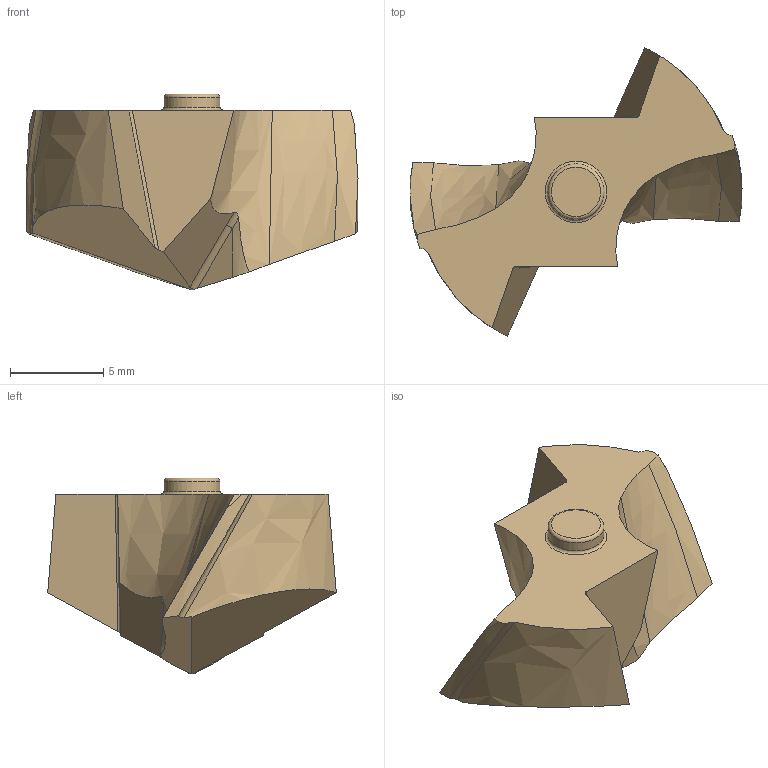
import cadquery as cq
import math

BODY_HEIGHT = 9.64
TWIST_RATE = 3.78
OVERSIZE = 30.0
CLEARANCE = 1.0

MARGIN_RADIUS = 8.9
LAND_RADIUS = 8.57
STEP_START_ANGLE = 20.0
STEP_END_ANGLE = 22.2
STEP_MID_RADIUS = 8.65
FLUTE_START = (2.26, -4.1)
FLUTE_HEEL_MID = (2.55, -1.1)
FLUTE_HEEL_END = (4.3, 0.9)
FLUTE_FACE_MID = (5.9, 1.63)
FLUTE_FACE_END = (7.53, 2.02)
LIP_CORNER_ANGLE = 15.0

MARGIN_FLAT_X = 8.5
MARGIN_FLAT_SLOPE = 0.27

LIP_SLOPE = 0.357
PRIMARY_RELIEF = 0.08
SECONDARY_RELIEF = 0.393

GASH_SLOPE_X = 1.103
GASH_SLOPE_Y = -0.98
GASH_FILLET = 0.3
WEB_HALF_THICKNESS = 0.05
RAKE_SLOPE = -0.61
RAKE_END_X = 2.17
RAKE_BLEND_LENGTH = 1.1

NOTCH_CORNER_X = -3.34
NOTCH_FLOOR_Y = -3.98
NOTCH_FLOOR_LEAN = 0.02
NOTCH_WALL_LEAN = 0.188
NOTCH_WALL_SLOPE = 0.348
NOTCH_FILLET = 0.2

STUB_RADIUS = 1.5
STUB_HEIGHT = 0.85
STUB_FOOT_FILLET = 0.15
STUB_TOP_FILLET = 0.18


def polar(radius, angle):
    radians = math.radians(angle)
    return (radius * math.cos(radians), radius * math.sin(radians))


def unturned(point):
    return point


def half_turn(point):
    return (-point[0], -point[1])


def below_plane(slope_x, slope_y):
    """Large solid below the plane z = slope_x * x + slope_y * y."""
    plane = cq.Plane(origin=(0, 0, 0), xDir=(1, 0, slope_x), normal=(-slope_x, -slope_y, 1))
    return cq.Workplane(plane).rect(2 * OVERSIZE, 2 * OVERSIZE).extrude(-OVERSIZE)


def both_sides(cutter):
    """The cutter together with its half-turn copy about the drill axis."""
    return [cutter, cutter.rotate((0, 0, 0), (0, 0, 1), 180)]


def make_fluted_body():
    """Section with two lands and two flutes, swept along the helix."""
    lip_corner = polar(MARGIN_RADIUS, LIP_CORNER_ANGLE)
    margin_mid = polar(MARGIN_RADIUS, (LIP_CORNER_ANGLE + STEP_START_ANGLE) / 2)
    step_start = polar(MARGIN_RADIUS, STEP_START_ANGLE)
    step_mid_angle = (STEP_START_ANGLE + STEP_END_ANGLE) / 2
    step_mid = polar(STEP_MID_RADIUS, step_mid_angle)
    step_end = polar(LAND_RADIUS, STEP_END_ANGLE)
    land_end_angle = math.degrees(math.atan2(-FLUTE_START[1], -FLUTE_START[0]))
    land_mid = polar(LAND_RADIUS, (STEP_END_ANGLE + land_end_angle) / 2)
    land_end = polar(LAND_RADIUS, land_end_angle)

    outline = cq.Workplane("XY").moveTo(*FLUTE_START)
    for place in (unturned, half_turn):
        outline = (
            outline.threePointArc(place(FLUTE_HEEL_MID), place(FLUTE_HEEL_END))
            .threePointArc(place(FLUTE_FACE_MID), place(FLUTE_FACE_END))
            .lineTo(*place(lip_corner))
            .threePointArc(place(margin_mid), place(step_start))
            .threePointArc(place(step_mid), place(step_end))
            .threePointArc(place(land_mid), place(land_end))
            .lineTo(*half_turn(place(FLUTE_START)))
        )
    twist = TWIST_RATE * BODY_HEIGHT
    return outline.close().twistExtrude(BODY_HEIGHT, twist).rotate((0, 0, 0), (0, 0, 1), -twist)


def make_margin_flat():
    """Wedge outside a plane that leans outward going down."""
    run = MARGIN_FLAT_SLOPE * BODY_HEIGHT
    return (
        cq.Workplane("XZ")
        .polyline(
            [
                (MARGIN_FLAT_X, BODY_HEIGHT),
                (MARGIN_FLAT_X + run, 0),
                (OVERSIZE, 0),
                (OVERSIZE, BODY_HEIGHT),
            ]
        )
        .close()
        .extrude(OVERSIZE, both=True)
    )


def make_notch():
    """Wedge between the notch floor and wall, rounded where they meet."""

    def section(depth):
        floor_y = NOTCH_FLOOR_Y + NOTCH_FLOOR_LEAN * depth
        wall_x = NOTCH_CORNER_X + NOTCH_WALL_LEAN * depth
        foot_x = wall_x - NOTCH_WALL_SLOPE * OVERSIZE
        corners = [
            (wall_x, floor_y),
            (wall_x + OVERSIZE, floor_y),
            (wall_x + OVERSIZE, floor_y - OVERSIZE),
            (foot_x, floor_y - OVERSIZE),
        ]
        points = [cq.Vector(x, y, BODY_HEIGHT - depth) for x, y in corners]
        return cq.Wire.makePolygon(points, close=True)

    wedge = cq.Solid.makeLoft([section(BODY_HEIGHT + CLEARANCE), section(-CLEARANCE)], True)
    corner = cq.Vertex.makeVertex(NOTCH_CORNER_X, NOTCH_FLOOR_Y, BODY_HEIGHT)
    corner_edge = min(wedge.Edges(), key=lambda edge: edge.distance(corner))
    return cq.Workplane(wedge.fillet(NOTCH_FILLET, [corner_edge]))


def make_gash():
    """Cutter bounded by an upright rake face and a sloping gash face, with a rounded root."""

    def rake_y(x):
        return RAKE_SLOPE * x - WEB_HALF_THICKNESS

    rake_end = (RAKE_END_X, rake_y(RAKE_END_X))
    rake_angle = math.atan(-RAKE_SLOPE)
    blend_drop = RAKE_BLEND_LENGTH * math.tan(rake_angle / 2)
    blend_end = (RAKE_END_X + RAKE_BLEND_LENGTH, rake_end[1] - blend_drop)
    reach = OVERSIZE / 2
    prism = (
        cq.Workplane("XY", origin=(0, 0, -CLEARANCE))
        .moveTo(-reach, rake_y(-reach))
        .lineTo(*rake_end)
        .tangentArcPoint(blend_end, relative=False)
        .lineTo(reach, blend_end[1])
        .lineTo(reach, -reach)
        .lineTo(-reach, -reach)
        .close()
        .extrude(OVERSIZE)
    )
    gash = prism.intersect(below_plane(GASH_SLOPE_X, GASH_SLOPE_Y))
    root_x = RAKE_END_X / 2
    root_z = GASH_SLOPE_X * root_x + GASH_SLOPE_Y * rake_y(root_x)
    root_point = (root_x, rake_y(root_x), root_z)
    return gash.edges(cq.selectors.NearestToPointSelector(root_point)).fillet(GASH_FILLET)


def make_stub():
    """Turned stub with a rounded top edge and a concave fillet at its foot."""
    top = BODY_HEIGHT + STUB_HEIGHT
    foot_radius = STUB_RADIUS + STUB_FOOT_FILLET
    arc_inset = 1 - math.sqrt(0.5)
    foot_inset = arc_inset * STUB_FOOT_FILLET
    top_inset = arc_inset * STUB_TOP_FILLET
    return (
        cq.Workplane("XZ")
        .moveTo(0, BODY_HEIGHT - STUB_FOOT_FILLET)
        .lineTo(foot_radius, BODY_HEIGHT - STUB_FOOT_FILLET)
        .lineTo(foot_radius, BODY_HEIGHT)
        .threePointArc(
            (STUB_RADIUS + foot_inset, BODY_HEIGHT + foot_inset),
            (STUB_RADIUS, BODY_HEIGHT + STUB_FOOT_FILLET),
        )
        .lineTo(STUB_RADIUS, top - STUB_TOP_FILLET)
        .threePointArc(
            (STUB_RADIUS - top_inset, top - top_inset),
            (STUB_RADIUS - STUB_TOP_FILLET, top),
        )
        .lineTo(0, top)
        .close()
        .revolve(360, (0, 0, 0), (0, 1, 0))
    )


body = make_fluted_body()
cutters = [
    below_plane(-LIP_SLOPE, -PRIMARY_RELIEF),
    below_plane(-LIP_SLOPE, -SECONDARY_RELIEF),
    make_gash(),
    make_notch(),
    make_margin_flat(),
]
for cutter in cutters:
    for side in both_sides(cutter):
        body = body.cut(side)
result = body.union(make_stub())